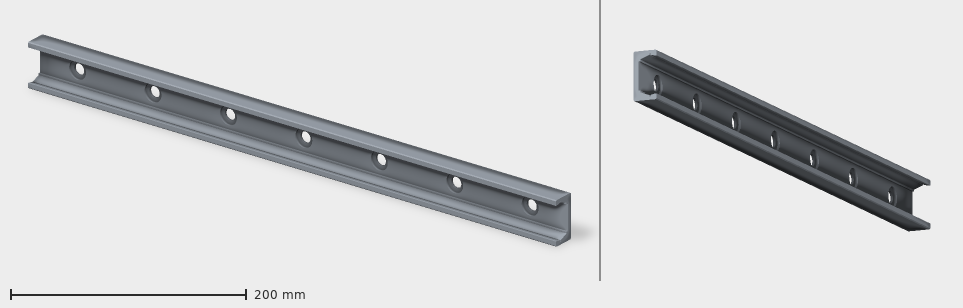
import cadquery as cq

length = 560.0
depth = 21.0
height = 43.0

web_thickness = 4.5
root_thickness = 9.0
shoulder_thickness = 7.0
lip_thickness = 5.0
raceway_thickness = 4.0
ledge_width = 1.5
lip_width = 1.5
raceway_offset = 15.0

edge_chamfer = 0.85

relief_width = 1.0
relief_depth = 1.0

hole_count = 7
hole_pitch = length / hole_count
hole_diameter = 10.5
counterbore_diameter = 18.0
counterbore_depth = 2.0

front_y = -depth / 2
back_y = depth / 2
top_z = height / 2
web_y = back_y - web_thickness
raceway_start_y = web_y - ledge_width
raceway_end_y = front_y + lip_width
raceway_mid_y = back_y - raceway_offset


def make_channel():
    """Extrude the C section, whose flanges carry shallow V-shaped raceways."""
    root_z = top_z - root_thickness
    shoulder_z = top_z - shoulder_thickness
    lip_z = top_z - lip_thickness
    raceway_z = top_z - raceway_thickness
    section = (
        cq.Workplane("YZ", origin=(-length / 2, 0, 0))
        .moveTo(back_y, -top_z)
        .lineTo(back_y, top_z)
        .lineTo(front_y, top_z)
        .lineTo(front_y, lip_z)
        .lineTo(raceway_end_y, lip_z)
        .lineTo(raceway_mid_y, raceway_z)
        .lineTo(raceway_start_y, shoulder_z)
        .lineTo(raceway_start_y, root_z)
        .lineTo(web_y, root_z)
        .lineTo(web_y, -root_z)
        .lineTo(raceway_start_y, -root_z)
        .lineTo(raceway_start_y, -shoulder_z)
        .lineTo(raceway_mid_y, -raceway_z)
        .lineTo(raceway_end_y, -lip_z)
        .lineTo(front_y, -lip_z)
        .lineTo(front_y, -top_z)
        .close()
    )
    channel = section.extrude(length)
    for face in (">Z", "<Z"):
        channel = channel.faces(face).edges("|X").chamfer(edge_chamfer)
    return channel


def make_relief_grooves():
    """Bars that cut the relief grooves into both raceways."""
    groove_bottom_z = top_z - raceway_thickness + relief_depth
    return cq.Workplane("XY").box(length, relief_width, 2 * groove_bottom_z).translate(
        (0, raceway_mid_y, 0)
    )


def cut_mounting_holes(rail):
    """Drill the row of holes through the web, counterbored from the open side."""
    return (
        rail.copyWorkplane(cq.Workplane("XZ", origin=(0, web_y, 0)))
        .rarray(hole_pitch, 5.5, hole_count, 1)
        .cboreHole(hole_diameter, counterbore_diameter, counterbore_depth)
    )


channel = make_channel().cut(make_relief_grooves())
result = cut_mounting_holes(channel)